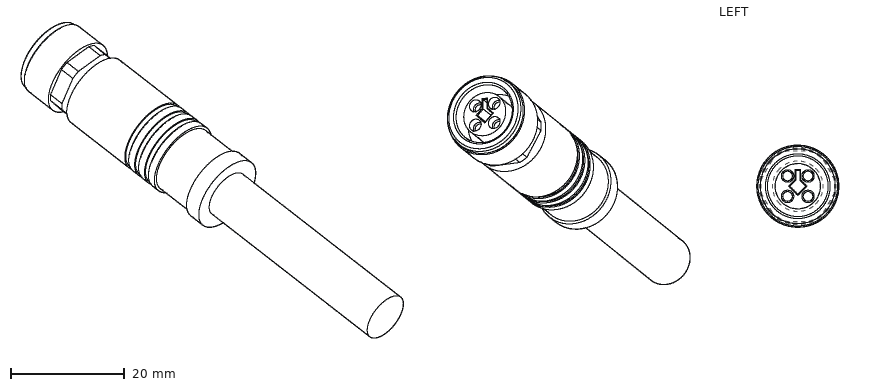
import cadquery as cq


LIP_CHAMFER_END = 0.3
LIP_END = 1.4
NUT_END = 7.5
HEX_END = 10.4
BODY_START = 11.9
GROOVES_START = 26.6
WAIST_START = 34.1
COLLAR_START = 42.25
COLLAR_END = 45.35
CABLE_END = 85.4

LIP_FACE_RADIUS = 6.6
LIP_RADIUS = 7.0
NUT_RADIUS = 14.5 / 2
NECK_RADIUS = 3.95
BODY_RADIUS = 7.0
WAIST_RADIUS = 6.5
CABLE_RADIUS = 4.45

HEX_ACROSS_FLATS = 12.4
HEX_CORNER_RADIUS = 6.75
HEX_SIDES = 6
HEX_TURN = 180 / HEX_SIDES

GROOVE_COUNT = 3
GROOVE_PITCH = 2.5
GROOVE_WIDTH = 1.0
GROOVE_DEPTH = 0.25

MOUTH_RADIUS = 5.7
BORE_RADIUS = 5.35
MOUTH_CHAMFER = MOUTH_RADIUS - BORE_RADIUS
BORE_DEPTH = 6.0
INSERT_RADIUS = 4.0
INSERT_SETBACK = 0.6

SOCKET_SPACING = 3.6
SOCKET_MOUTH_RADIUS = 1.1
SOCKET_MOUTH_DEPTH = 1.8
CONTACT_RADIUS = 0.85

KEY_SQUARE_SIDE = 2.0
KEY_SQUARE_TURN = 45
KEY_SLOT_WIDTH = 0.7
KEY_SLOT_TOP = 2.8
KEY_CHAMFER = 0.15

RECESS_DEPTH = 5.0


def section_at(x):
    """Workplane across the axis at x, facing +X, with local X along +Y and local Y along +Z."""
    return cq.Workplane("YZ", origin=(x, 0, 0))


def cylinder(start, end, radius):
    return section_at(start).circle(radius).extrude(end - start)


def turned(points):
    """Solid of revolution about the X axis from (x, radius) points."""
    return cq.Workplane("XY").polyline(points).close().revolve(360, (0, 0, 0), (1, 0, 0))


def make_outside():
    return turned([
        (0, 0),
        (0, LIP_FACE_RADIUS),
        (LIP_CHAMFER_END, LIP_RADIUS),
        (LIP_END, LIP_RADIUS),
        (LIP_END, NUT_RADIUS),
        (NUT_END, NUT_RADIUS),
        (NUT_END, NECK_RADIUS),
        (BODY_START, NECK_RADIUS),
        (BODY_START, BODY_RADIUS),
        (WAIST_START, BODY_RADIUS),
        (WAIST_START, WAIST_RADIUS),
        (COLLAR_START, WAIST_RADIUS),
        (COLLAR_START, BODY_RADIUS),
        (COLLAR_END, BODY_RADIUS),
        (COLLAR_END, CABLE_RADIUS),
        (CABLE_END, CABLE_RADIUS),
        (CABLE_END, 0),
    ])


def make_hex():
    """Hexagon with flats facing +Z and -Z, limited to the corner radius."""
    hexagon = (
        section_at(NUT_END)
        .polygon(HEX_SIDES, HEX_ACROSS_FLATS, circumscribed=True)
        .extrude(HEX_END - NUT_END)
        .rotate((0, 0, 0), (1, 0, 0), HEX_TURN)
    )
    return hexagon.intersect(cylinder(NUT_END, HEX_END, HEX_CORNER_RADIUS))


def make_groove(start):
    end = start + GROOVE_WIDTH
    floor = cylinder(start, end, BODY_RADIUS - GROOVE_DEPTH)
    return cylinder(start, end, NUT_RADIUS).cut(floor)


def make_mouth():
    """Chamfered bore of the nut, leaving the set-back insert standing in it."""
    bore = turned([
        (0, 0),
        (0, MOUTH_RADIUS),
        (MOUTH_CHAMFER, BORE_RADIUS),
        (BORE_DEPTH, BORE_RADIUS),
        (BORE_DEPTH, 0),
    ])
    return bore.cut(cylinder(INSERT_SETBACK, BORE_DEPTH, INSERT_RADIUS))


def make_sockets():
    """Four blind sockets in a square, each with a 45 degree funnel behind its mouth."""
    funnel_start = INSERT_SETBACK + SOCKET_MOUTH_DEPTH
    funnel_end = funnel_start + SOCKET_MOUTH_RADIUS - CONTACT_RADIUS
    floor_x = INSERT_SETBACK + RECESS_DEPTH
    socket = turned([
        (INSERT_SETBACK, 0),
        (INSERT_SETBACK, SOCKET_MOUTH_RADIUS),
        (funnel_start, SOCKET_MOUTH_RADIUS),
        (funnel_end, CONTACT_RADIUS),
        (floor_x, CONTACT_RADIUS),
        (floor_x, 0),
    ])
    offset = SOCKET_SPACING / 2
    sockets = cq.Workplane("YZ")
    for y in (-offset, offset):
        for z in (-offset, offset):
            sockets = sockets.add(socket.translate((0, y, z)))
    return sockets.combine()


def chamfered_pocket(width, height, centre_height):
    """Rectangular pocket from the insert face with a 45 degree chamfer around its rim."""
    pocket = (
        section_at(INSERT_SETBACK)
        .center(0, centre_height)
        .rect(width, height)
        .extrude(RECESS_DEPTH)
    )
    rim = (
        section_at(INSERT_SETBACK)
        .center(0, centre_height)
        .rect(width + 2 * KEY_CHAMFER, height + 2 * KEY_CHAMFER)
        .workplane(offset=KEY_CHAMFER)
        .rect(width, height)
        .loft()
    )
    return pocket.union(rim)


def make_key():
    """Square pocket standing on its corner, joined to an upright slot above it."""
    square = chamfered_pocket(KEY_SQUARE_SIDE, KEY_SQUARE_SIDE, 0)
    slot = chamfered_pocket(KEY_SLOT_WIDTH, KEY_SLOT_TOP, KEY_SLOT_TOP / 2)
    return square.rotate((0, 0, 0), (1, 0, 0), KEY_SQUARE_TURN).union(slot)


result = make_outside().union(make_hex())
for index in range(GROOVE_COUNT):
    result = result.cut(make_groove(GROOVES_START + index * GROOVE_PITCH))
result = result.cut(make_mouth()).cut(make_sockets()).cut(make_key())